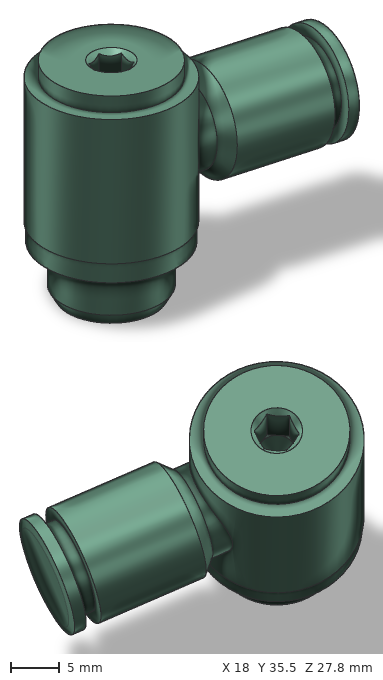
import cadquery as cq
import math

body_diameter = 18.0
body_height = 17.05
cap_diameter = 15.05
cap_height = 1.95
collar_diameter = 17.65
collar_height = 2.35
stem_diameter = 13.2
stem_height = 6.45
stem_chamfer_height = 1.4
stem_chamfer_inset = 0.78

collar_bottom = stem_height
body_bottom = collar_bottom + collar_height
body_top = body_bottom + body_height
cap_top = body_top + cap_height

hex_across_flats = 4.0
hex_corner_diameter = hex_across_flats / math.cos(math.radians(30))
socket_depth = 4.97
countersink_diameter = 5.3
countersink_angle = 90.0
drill_point_angle = 118.0

overall_length = 35.5
branch_axis_height = 17.3
branch_end = overall_length - body_diameter / 2
branch_radius = 6.5
neck_radius = 5.0
groove_radius = 5.1
ring_length = 1.53
groove_length = 1.7
sleeve_length = 12.05
shoulder_length = branch_radius - neck_radius
end_bevel_length = 0.2
end_face_radius = 5.55

groove_outer_end = branch_end - ring_length
sleeve_outer_end = groove_outer_end - groove_length
sleeve_inner_end = sleeve_outer_end - sleeve_length
neck_outer_end = sleeve_inner_end - shoulder_length


def make_body():
    """Revolve the stepped upright body about Z."""
    stem_radius = stem_diameter / 2
    profile = [
        (0, 0),
        (stem_radius - stem_chamfer_inset, 0),
        (stem_radius, stem_chamfer_height),
        (stem_radius, collar_bottom),
        (collar_diameter / 2, collar_bottom),
        (collar_diameter / 2, body_bottom),
        (body_diameter / 2, body_bottom),
        (body_diameter / 2, body_top),
        (cap_diameter / 2, body_top),
        (cap_diameter / 2, cap_top),
        (0, cap_top),
    ]
    return cq.Workplane("XZ").polyline(profile).close().revolve(360, (0, 0), (0, 1))


def make_branch():
    """Revolve the side branch, from the body axis outwards, about its own axis."""
    profile = [
        (0, 0),
        (neck_radius, 0),
        (neck_radius, neck_outer_end),
        (branch_radius, sleeve_inner_end),
        (branch_radius, sleeve_outer_end),
        (groove_radius, sleeve_outer_end),
        (groove_radius, groove_outer_end),
        (branch_radius, groove_outer_end),
        (branch_radius, branch_end - end_bevel_length),
        (end_face_radius, branch_end),
        (0, branch_end),
    ]
    branch = cq.Workplane("XY").polyline(profile).close().revolve(360, (0, 0), (0, 1))
    return branch.translate((0, 0, branch_axis_height))


def make_cone(radius, angle):
    """Cone pointing down from the origin, with the given full tip angle."""
    depth = radius / math.tan(math.radians(angle / 2))
    profile = [(0, 0), (radius, 0), (0, -depth)]
    return cq.Workplane("XZ").polyline(profile).close().revolve(360, (0, 0), (0, 1))


def make_socket():
    """Hexagon socket with a countersunk mouth and a drill-point bottom."""
    socket_bottom = cap_top - socket_depth
    hexagon = (
        cq.Workplane("XY")
        .workplane(offset=socket_bottom)
        .polygon(6, hex_corner_diameter)
        .extrude(socket_depth)
    )
    countersink = make_cone(countersink_diameter / 2, countersink_angle)
    drill_point = make_cone(hex_across_flats / 2, drill_point_angle)
    return (
        hexagon
        .union(countersink.translate((0, 0, cap_top)))
        .union(drill_point.translate((0, 0, socket_bottom)))
    )


result = make_body().union(make_branch()).cut(make_socket())